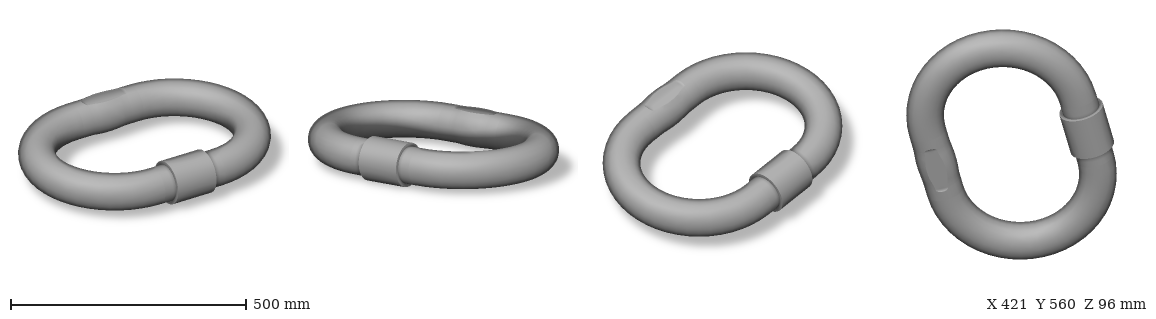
import cadquery as cq

overall_length = 560.0
bar_diameter = 80.0
straight_length = 150.0
bar_radius = bar_diameter / 2
half_straight = straight_length / 2
bend_radius = overall_length / 2 - half_straight - bar_radius

sleeve_diameter = 96.0
sleeve_length = 96.0

swell_height = 3.0
swell_half_length = 46.5
barrel_half_length = 29.5

flat_height = 37.5
flat_half_length = swell_half_length
flat_end_radius = 11.0


def make_link():
    bend_top = half_straight + bend_radius
    centre_line = (
        cq.Workplane("XY")
        .moveTo(bend_radius, -half_straight)
        .lineTo(bend_radius, half_straight)
        .threePointArc((0, bend_top), (-bend_radius, half_straight))
        .lineTo(-bend_radius, -half_straight)
        .threePointArc((0, -bend_top), (bend_radius, -half_straight))
        .close()
    )
    section = cq.Workplane("XZ", origin=(bend_radius, -half_straight, 0)).circle(bar_radius)
    return section.sweep(centre_line)


def make_sleeve():
    return (
        cq.Workplane("XZ", origin=(bend_radius, sleeve_length / 2, 0))
        .circle(sleeve_diameter / 2)
        .extrude(sleeve_length)
    )


def make_swelling():
    hollow_length = swell_half_length - barrel_half_length
    hollow_rise = swell_height * hollow_length / swell_half_length
    joint_radius = bar_radius + hollow_rise
    hollow_arc_radius = (hollow_length**2 + hollow_rise**2) / (2 * hollow_rise)
    crest_radius = bar_radius + swell_height
    return (
        cq.Workplane("XY", origin=(-bend_radius, 0, 0))
        .moveTo(0, -swell_half_length)
        .lineTo(bar_radius, -swell_half_length)
        .radiusArc((joint_radius, -barrel_half_length), hollow_arc_radius)
        .threePointArc((crest_radius, 0), (joint_radius, barrel_half_length))
        .radiusArc((bar_radius, swell_half_length), hollow_arc_radius)
        .lineTo(0, swell_half_length)
        .close()
        .revolve(360, (0, 0, 0), (0, 1, 0))
    )


def make_flat_cutter():
    rim_half_length = flat_half_length + flat_end_radius
    rim_height = flat_height + flat_end_radius
    return (
        cq.Workplane("YZ", origin=(-bend_radius, 0, 0))
        .moveTo(-flat_half_length, flat_height)
        .lineTo(flat_half_length, flat_height)
        .tangentArcPoint((rim_half_length, rim_height), relative=False)
        .lineTo(-rim_half_length, rim_height)
        .radiusArc((-flat_half_length, flat_height), -flat_end_radius)
        .close()
        .extrude(bar_radius, both=True)
    )


top_flat = make_flat_cutter()
bottom_flat = top_flat.mirror("XY")
solid_link = make_link().union(make_sleeve()).union(make_swelling())
result = solid_link.cut(top_flat).cut(bottom_flat)